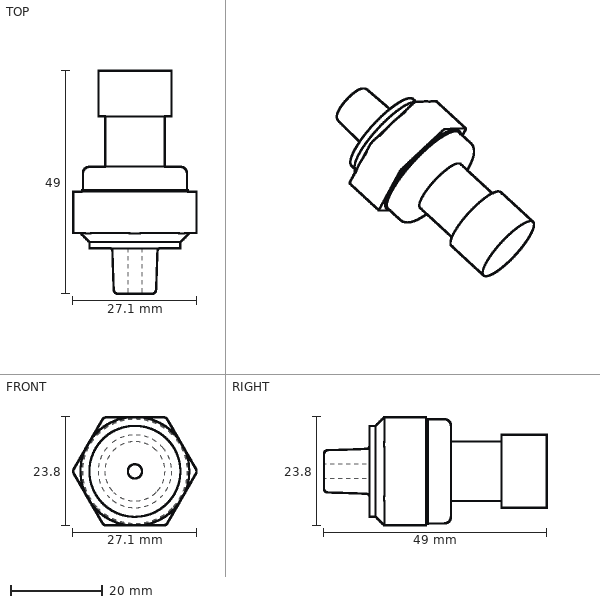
import cadquery as cq
import math

total_length = 49.0

tip_radius = 4.65
stub_base_radius = 5.0
tip_fillet = 1.0
stub_root_fillet = 0.5
bore_radius = 1.55
bore_depth = 10.0

flange_y = 10.0
flange_radius = 10.0
cone_y = 11.35
cone_end_radius = 11.95

hex_y = 13.35
hex_length = 9.1
hex_across_flats = 23.75
hex_corner_fillet = 1.05
hex_end_y = hex_y + hex_length

washer_radius = 11.65
washer_across_flats = 23.1
washer_thickness = 0.4
washer_end_y = hex_end_y + washer_thickness

collar_radius = 11.45
collar_end_y = 27.95
collar_fillet = 1.45

neck_radius = 6.55
connector_radius = 8.05
connector_length = 10.0


def revolve_profile(points):
    """Revolve a closed (radius, Y) outline about the Y axis."""
    return cq.Workplane("XY").polyline(points).close().revolve(360, (0, 0, 0), (0, 1, 0))


def cylinder(radius, start, end):
    """Cylinder along Y between two Y positions."""
    return revolve_profile([(0, start), (radius, start), (radius, end), (0, end)])


def hexagon(across_flats, start, end):
    """Sharp hexagonal bar along Y with flats facing +Z and -Z."""
    corner_diameter = across_flats * 2 / math.sqrt(3)
    bar = cq.Workplane("XZ", origin=(0, start, 0)).polygon(6, corner_diameter)
    return bar.extrude(start - end)


def wrench_hexagon():
    """Hexagon for the wrench, with rounded corners."""
    blank = hexagon(hex_across_flats, hex_y, hex_end_y)
    return blank.edges("|Y").fillet(hex_corner_fillet)


def port():
    """Flange with the tapered stub, rounded at its tip and root."""
    stub = revolve_profile(
        [(0, 0), (tip_radius, 0), (stub_base_radius, flange_y), (0, flange_y)]
    )
    stub = stub.faces("<Y").edges().fillet(tip_fillet)
    joined = stub.union(cylinder(flange_radius, flange_y, cone_y))
    flange_center = cq.selectors.NearestToPointSelector((0, flange_y, 0))
    flange_face = joined.faces("|Y").faces(flange_center)
    root_edge = flange_face.edges(cq.selectors.RadiusNthSelector(0))
    return root_edge.fillet(stub_root_fillet)


def cone():
    """Cone widening to the hexagon, trimmed where it passes the flats."""
    blank = revolve_profile(
        [(0, cone_y), (flange_radius, cone_y), (cone_end_radius, hex_y), (0, hex_y)]
    )
    return blank.intersect(hexagon(hex_across_flats, cone_y, hex_y))


def washer():
    """Disc trimmed by a hexagon slightly smaller than its diameter."""
    disc = cylinder(washer_radius, hex_end_y, washer_end_y)
    return disc.intersect(hexagon(washer_across_flats, hex_end_y, washer_end_y))


def collar():
    """Round collar with a rounded rear rim."""
    body = cylinder(collar_radius, washer_end_y, collar_end_y)
    return body.faces(">Y").edges().fillet(collar_fillet)


def connector():
    """Plain neck and the wider connector head."""
    head_y = total_length - connector_length
    neck = cylinder(neck_radius, collar_end_y, head_y)
    return neck.union(cylinder(connector_radius, head_y, total_length))


result = port()
for section in (cone(), wrench_hexagon(), washer(), collar(), connector()):
    result = result.union(section)
result = result.cut(cylinder(bore_radius, 0, bore_depth))